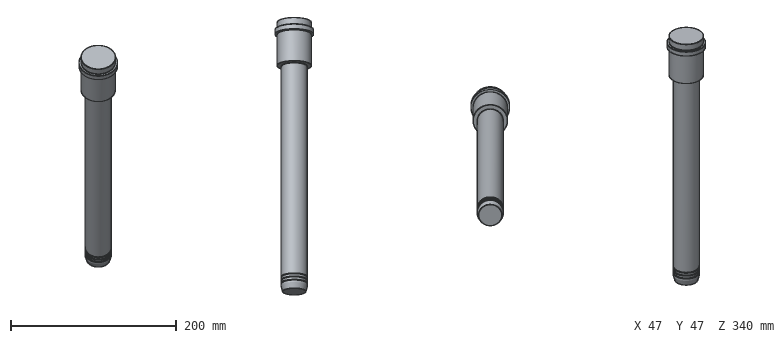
import cadquery as cq
import math

total_length = 340.0

head_radius = 42.0 / 2
head_length = 55.0
flange_radius = 47.0 / 2
flange_thickness = 6.0
flange_top_drop = 9.0
edge_break = 0.5

relief_width = 1.0
upper_relief_depth = 0.25
lower_relief_depth = 0.5
neck_relief_depth = 0.5

shaft_radius = 32.0 / 2
groove_count = 3
groove_width = 1.0
groove_depth = 0.75
groove_pitch = 4.0
lead_in_height = 7.0
lead_in_angle = 15.0

head_bottom = total_length - head_length
flange_top = total_length - flange_top_drop
flange_bottom = flange_top - flange_thickness
first_groove_bottom = lead_in_height + groove_pitch - groove_width


def disc(radius, bottom, height):
    """Cylinder on the Z axis starting at the given height."""
    return cq.Workplane("XY").workplane(offset=bottom).circle(radius).extrude(height)


def make_shaft():
    """Plain shaft with a tapered lead-in and a chamfered end face."""
    foot_radius = shaft_radius - (lead_in_height - edge_break) * math.tan(math.radians(lead_in_angle))
    profile = (
        cq.Workplane("XZ")
        .lineTo(foot_radius - edge_break, 0)
        .lineTo(foot_radius, edge_break)
        .lineTo(shaft_radius, lead_in_height)
        .lineTo(shaft_radius, head_bottom)
        .lineTo(0, head_bottom)
    )
    return profile.close().revolve(360, (0, 0, 0), (0, 1, 0))


def make_ring(radius, depth, bottom, height):
    """Ring of material lying just under a cylindrical surface."""
    return disc(radius, bottom, height).cut(disc(radius - depth, bottom, height))


def make_sleeve():
    """Lower part of the head, chamfered at its bottom edge and beside the flange relief."""
    sleeve_length = flange_bottom - relief_width + edge_break - head_bottom
    sleeve = disc(head_radius, head_bottom, sleeve_length).edges().chamfer(edge_break)
    core_bottom = head_bottom + edge_break
    core = disc(head_radius - lower_relief_depth, core_bottom, flange_bottom - core_bottom)
    return sleeve.union(core)


def make_flange():
    """Locating flange with a chamfered upper edge."""
    flange = disc(flange_radius, flange_bottom, flange_thickness)
    return flange.faces(">Z").edges().chamfer(edge_break)


def make_cap():
    """Top of the head above the flange, with a shallow relief at its root."""
    cap = disc(head_radius, flange_top, flange_top_drop).faces(">Z").edges().chamfer(edge_break)
    return cap.cut(make_ring(head_radius, upper_relief_depth, flange_top, relief_width))


def cut_shaft_grooves(shaft):
    """Cut the relief under the head and the row of grooves above the lead-in."""
    neck_relief_bottom = head_bottom - relief_width
    shaft = shaft.cut(make_ring(shaft_radius, neck_relief_depth, neck_relief_bottom, relief_width))
    for index in range(groove_count):
        groove_bottom = first_groove_bottom + index * groove_pitch
        shaft = shaft.cut(make_ring(shaft_radius, groove_depth, groove_bottom, groove_width))
    return shaft


result = (
    cut_shaft_grooves(make_shaft())
    .union(make_sleeve())
    .union(make_flange())
    .union(make_cap())
)